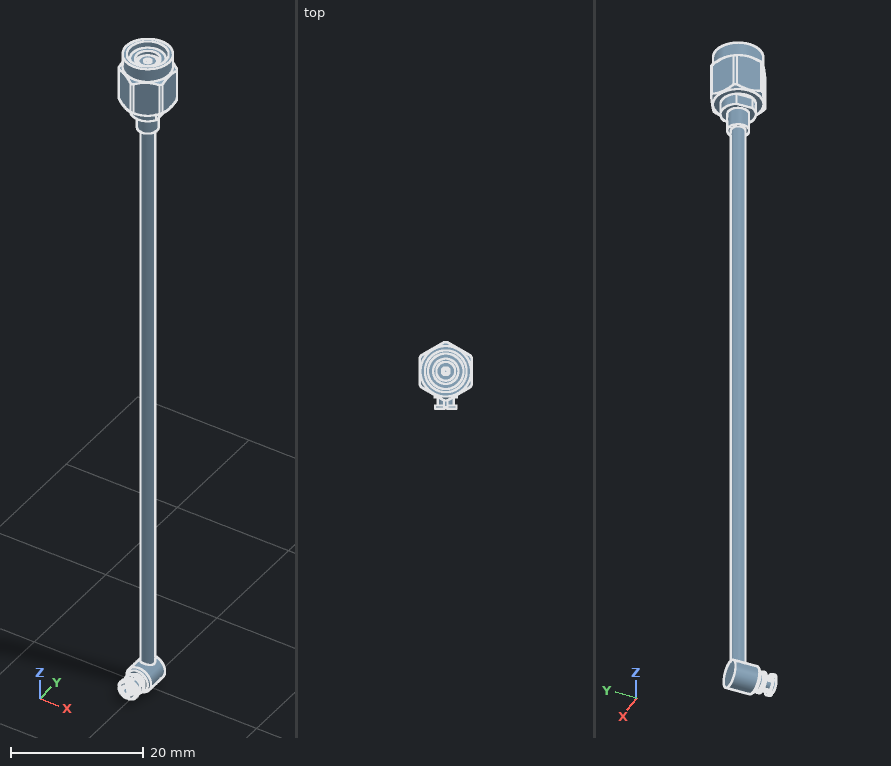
import cadquery as cq
import math

TOTAL_HEIGHT = 119.5

ELBOW_DIAMETER = 4.4
ELBOW_RADIUS = ELBOW_DIAMETER / 2
ELBOW_AXIS_Z = ELBOW_RADIUS
ELBOW_BACK_Y = 1.4
ELBOW_RIM_Y = -2.5
ELBOW_FRONT_Y = -2.9
ELBOW_FRONT_DIAMETER = 3.7
SPIGOT_DIAMETER = 2.5
SPIGOT_RING_DIAMETER = 3.3
STOP_RING_START_Y = -3.6
STOP_RING_END_Y = -4.0
SNAP_RING_START_Y = -5.1
SNAP_RING_END_Y = -5.6
SPIGOT_TIP_Y = -5.7
SPIGOT_TIP_DIAMETER = 2.9
SPIGOT_BORE_DIAMETER = 1.8
SPIGOT_SLOT_WIDTH = 0.5
SPIGOT_SLOT_COUNT = 4
ELBOW_PIN_DIAMETER = 0.56
ELBOW_PIN_TIP_DIAMETER = 0.31
ELBOW_PIN_TAPER = 0.2

CABLE_DIAMETER = 2.3
CABLE_BOTTOM_Z = 3.6

FERRULE_DIAMETER = 3.3
FERRULE_BOTTOM_Z = 105.6
COLLAR_DIAMETER = 5.4
COLLAR_FLATS = 4.7
COLLAR_BOTTOM_Z = 108.8
SHELL_TOP_Z = 118.7
SHELL_BORE_DIAMETER = 3.8
SHELL_BORE_FLOOR_Z = 117.8
INSULATOR_DIAMETER = 2.9
INSULATOR_TOP_Z = 118.2

CONTACT_DIAMETER = 1.17
CONTACT_TIP_DIAMETER = 0.56
CONTACT_TOP_Z = 118.4
CONTACT_TAPER = CONTACT_TOP_Z - INSULATOR_TOP_Z

NUT_ACROSS_FLATS = 7.9
NUT_ACROSS_CORNERS = NUT_ACROSS_FLATS / math.cos(math.radians(30))
NUT_CORNER_DIAMETER = 8.8
NUT_BOTTOM_Z = 110.7
HEX_TOP_Z = 117.1
NUT_RING_DIAMETER = 7.6
NUT_CHAMFER_HEIGHT = 0.5
NUT_CHAMFER_INSET = (NUT_CORNER_DIAMETER - NUT_RING_DIAMETER) / 2
NUT_BORE_DIAMETER = 6.3
NUT_BORE_FLOOR_Z = 112.3


def disc(diameter, bottom_z, top_z):
    """Upright cylinder on the cable axis."""
    return cq.Workplane("XY", origin=(0, 0, bottom_z)).circle(diameter / 2).extrude(top_z - bottom_z)


def revolve_on_elbow_axis(profile):
    """Turn (radius, y) points about the elbow axis, which runs along Y."""
    outline = cq.Workplane("XY", origin=(0, 0, ELBOW_AXIS_Z)).polyline(profile).close()
    return outline.revolve(360, (0, 0, 0), (0, 1, 0))


def make_elbow():
    """Right-angle connector: barrel, two-ring slotted spigot, and a tapered pin inside its bore."""
    spigot = SPIGOT_DIAMETER / 2
    ring = SPIGOT_RING_DIAMETER / 2
    bore = SPIGOT_BORE_DIAMETER / 2
    body = revolve_on_elbow_axis([
        (0, ELBOW_BACK_Y),
        (ELBOW_RADIUS, ELBOW_BACK_Y),
        (ELBOW_RADIUS, ELBOW_RIM_Y),
        (ELBOW_FRONT_DIAMETER / 2, ELBOW_FRONT_Y),
        (spigot, ELBOW_FRONT_Y),
        (spigot, STOP_RING_START_Y),
        (ring, STOP_RING_START_Y),
        (ring, STOP_RING_END_Y),
        (spigot, STOP_RING_END_Y),
        (spigot, SNAP_RING_START_Y),
        (ring, SNAP_RING_START_Y),
        (ring, SNAP_RING_END_Y),
        (SPIGOT_TIP_DIAMETER / 2, SPIGOT_TIP_Y),
        (bore, SPIGOT_TIP_Y),
        (bore, STOP_RING_END_Y),
        (0, STOP_RING_END_Y),
    ])
    slot_length = STOP_RING_END_Y - SPIGOT_TIP_Y
    for index in range(SPIGOT_SLOT_COUNT):
        slot = (
            cq.Workplane("XY")
            .box(SPIGOT_SLOT_WIDTH, slot_length, ring, centered=(True, False, False))
            .rotate((0, 0, 0), (0, 1, 0), index * 360 / SPIGOT_SLOT_COUNT)
            .translate((0, SPIGOT_TIP_Y, ELBOW_AXIS_Z))
        )
        body = body.cut(slot)
    pin = ELBOW_PIN_DIAMETER / 2
    body = body.union(revolve_on_elbow_axis([
        (0, STOP_RING_START_Y),
        (pin, STOP_RING_START_Y),
        (pin, SNAP_RING_END_Y + ELBOW_PIN_TAPER),
        (ELBOW_PIN_TIP_DIAMETER / 2, SNAP_RING_END_Y),
        (0, SNAP_RING_END_Y),
    ]))
    cable_socket = disc(CABLE_DIAMETER, CABLE_BOTTOM_Z, ELBOW_DIAMETER)
    return body.cut(cable_socket)


def make_cable():
    """Plain round cable from the elbow socket up through the ferrule."""
    return disc(CABLE_DIAMETER, CABLE_BOTTOM_Z, COLLAR_BOTTOM_Z)


def make_plug_body():
    """Ferrule, flatted collar and inner shell in one piece, bored for the contact."""
    ferrule = disc(FERRULE_DIAMETER, FERRULE_BOTTOM_Z, COLLAR_BOTTOM_Z)
    ferrule = ferrule.cut(disc(CABLE_DIAMETER, FERRULE_BOTTOM_Z, COLLAR_BOTTOM_Z))
    collar_height = NUT_BOTTOM_Z - COLLAR_BOTTOM_Z
    flats = (
        cq.Workplane("XY", origin=(0, 0, COLLAR_BOTTOM_Z))
        .rect(COLLAR_FLATS, COLLAR_DIAMETER)
        .extrude(collar_height)
    )
    collar = disc(COLLAR_DIAMETER, COLLAR_BOTTOM_Z, NUT_BOTTOM_Z).intersect(flats)
    shell = disc(COLLAR_DIAMETER, NUT_BOTTOM_Z, SHELL_TOP_Z)
    shell = shell.cut(disc(SHELL_BORE_DIAMETER, SHELL_BORE_FLOOR_Z, SHELL_TOP_Z))
    insulator = disc(INSULATOR_DIAMETER, SHELL_BORE_FLOOR_Z, INSULATOR_TOP_Z)
    body = collar.union(ferrule).union(shell).union(insulator)
    return body.cut(disc(CONTACT_DIAMETER, COLLAR_BOTTOM_Z, INSULATOR_TOP_Z))


def make_contact():
    """Centre pin of the plug, tapered where it stands above the insulator."""
    tip_inset = (CONTACT_DIAMETER - CONTACT_TIP_DIAMETER) / 2
    pin = disc(CONTACT_DIAMETER, COLLAR_BOTTOM_Z, CONTACT_TOP_Z)
    return pin.faces(">Z").chamfer(CONTACT_TAPER, tip_inset)


def make_nut():
    """Hexagon nut with turned-down corners and a round ring on top, free around the shell."""
    hexagon = (
        cq.Workplane("XY", origin=(0, 0, NUT_BOTTOM_Z))
        .polygon(6, NUT_ACROSS_CORNERS)
        .extrude(HEX_TOP_Z - NUT_BOTTOM_Z)
        .rotate((0, 0, 0), (0, 0, 1), 30)
    )
    corner_trim = disc(NUT_CORNER_DIAMETER, NUT_BOTTOM_Z, HEX_TOP_Z).edges()
    corner_trim = corner_trim.chamfer(NUT_CHAMFER_HEIGHT, NUT_CHAMFER_INSET)
    ring = disc(NUT_RING_DIAMETER, HEX_TOP_Z, TOTAL_HEIGHT)
    nut = hexagon.intersect(corner_trim).union(ring)
    nut = nut.cut(disc(COLLAR_DIAMETER, NUT_BOTTOM_Z, NUT_BORE_FLOOR_Z))
    return nut.cut(disc(NUT_BORE_DIAMETER, NUT_BORE_FLOOR_Z, TOTAL_HEIGHT))


elbow = make_elbow()
cable = make_cable()
plug_body = make_plug_body()
contact = make_contact()
nut = make_nut()

result = cq.Compound.makeCompound([
    elbow.val(),
    cable.val(),
    plug_body.val(),
    contact.val(),
    nut.val(),
])